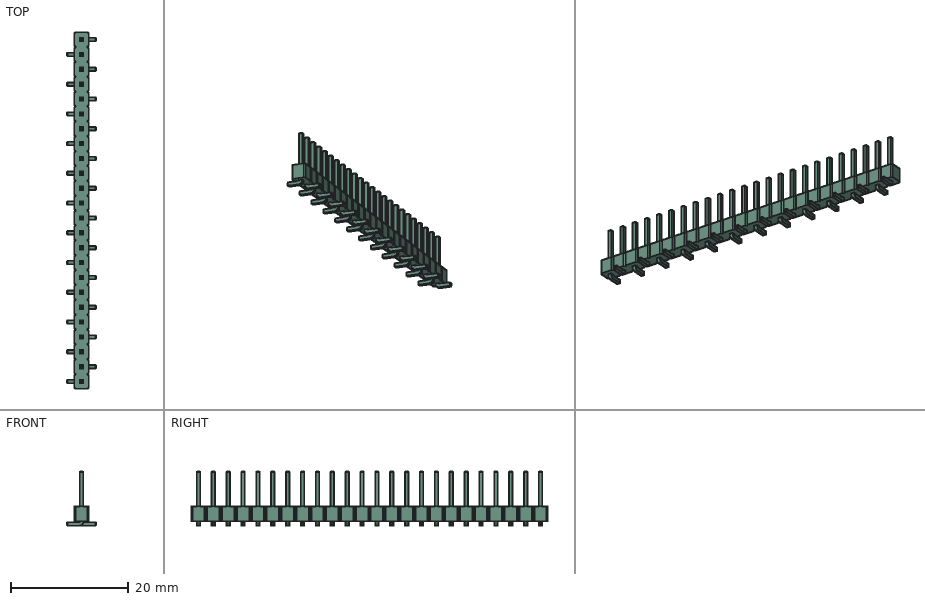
import cadquery as cq

PIN_COUNT = 24
PITCH = 2.54
ROW_LENGTH = PIN_COUNT * PITCH

OVERALL_HEIGHT = 9.3
FOOT_SPAN = 5.0

WIRE = 0.64
BEND_RADIUS = WIRE
TIP_LENGTH = WIRE / 4
TIP_INSET = WIRE / 4

PIN_ABOVE_BODY = 6.0
BODY_WIDTH = PITCH
BODY_HEIGHT = PITCH
BODY_BOTTOM = OVERALL_HEIGHT - PIN_ABOVE_BODY - BODY_HEIGHT
CORNER_CHAMFER = PITCH / 10


def housing_segment(y_center):
    """One block of the housing, one pitch long, with chamfered upright corners."""
    return (
        cq.Workplane("XY", origin=(0, y_center, BODY_BOTTOM))
        .rect(BODY_WIDTH, PITCH)
        .extrude(BODY_HEIGHT)
        .edges("|Z")
        .chamfer(CORNER_CHAMFER)
    )


def tapered_tip(base_plane):
    """Truncated pyramid that ends the wire, growing along the normal of base_plane."""
    tip_side = WIRE - 2 * TIP_INSET
    return (
        cq.Workplane(base_plane)
        .rect(WIRE, WIRE)
        .workplane(offset=TIP_LENGTH)
        .rect(tip_side, tip_side)
        .loft(ruled=True)
    )


def pin():
    """Bent square pin centred on the Z axis, with its foot pointing to +X."""
    half = WIRE / 2
    stem_end = OVERALL_HEIGHT - TIP_LENGTH
    foot_end = FOOT_SPAN / 2 - TIP_LENGTH

    wire = (
        cq.Workplane("XZ")
        .moveTo(-half, stem_end)
        .lineTo(-half, BEND_RADIUS)
        .radiusArc((-half + BEND_RADIUS, 0), -BEND_RADIUS)
        .lineTo(foot_end, 0)
        .lineTo(foot_end, WIRE)
        .lineTo(half, WIRE)
        .lineTo(half, stem_end)
        .close()
        .extrude(half, both=True)
    )
    stem_tip = tapered_tip(cq.Plane(origin=(0, 0, stem_end), xDir=(1, 0, 0), normal=(0, 0, 1)))
    foot_tip = tapered_tip(cq.Plane(origin=(foot_end, 0, half), xDir=(0, 1, 0), normal=(1, 0, 0)))
    return wire.union(stem_tip).union(foot_tip)


right_pin = pin()
left_pin = right_pin.rotate((0, 0, 0), (0, 0, 1), 180)

pieces = []
for index in range(PIN_COUNT):
    y_center = (index + 0.5) * PITCH - ROW_LENGTH / 2
    placed_pin = (left_pin if index % 2 == 0 else right_pin).translate((0, y_center, 0))
    pieces.append(housing_segment(y_center).val())
    pieces.append(placed_pin.val())

header = pieces[0].fuse(*pieces[1:]).clean()
result = cq.Workplane("XY").newObject([header.Solids()[0]])